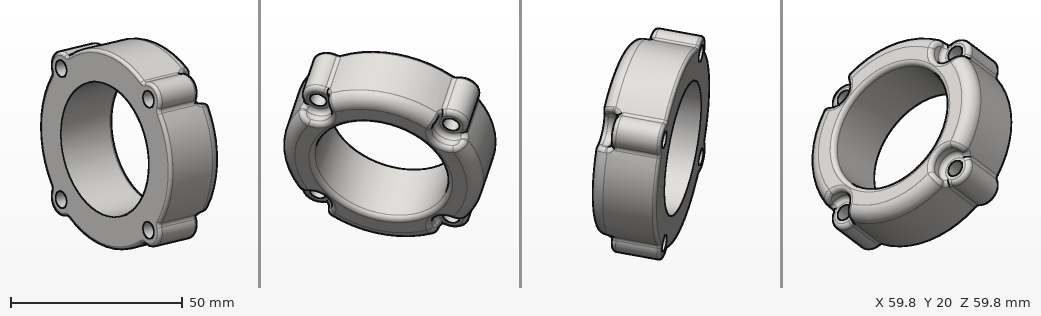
import cadquery as cq

ring_radius = 29.9
ring_depth = 20.0
back_round = 4.0
front_round = 1.0

bore_diameter = 40.2
bore_radius = bore_diameter / 2
bore_back_round = 1.5

lug_offset = 20.0
lug_radius = 5.0
lug_root_round = 1.5
screw_hole_diameter = 5.0
screw_hole_radius = screw_hole_diameter / 2

pocket_radius = lug_radius
pocket_depth = 5.0
pocket_round = 1.5

lug_depth = ring_depth - pocket_depth
lug_centres = [(x, z) for x in (-lug_offset, lug_offset) for z in (-lug_offset, lug_offset)]

clearance = 0.6
tolerance = 0.0005


def cylinder(radius, start, end, x=0.0, z=0.0):
    """Cylinder along Y from Y = start to Y = end."""
    base = cq.Vector(x, start, z)
    return cq.Workplane(cq.Solid.makeCylinder(radius, end - start, base, cq.Vector(0, 1, 0)))


def box_around(x, z, reach, start, end):
    """Selector for whatever lies fully in a square box along Y, with a margin all round."""
    half = reach + clearance
    low = (x - half, start - clearance, z - half)
    high = (x + half, end + clearance, z + half)
    return cq.selectors.BoxSelector(low, high, boundingbox=True)


def screw_pocket(x, z):
    """Cutter for one pocket, with a rounded floor edge."""
    cutter = cylinder(pocket_radius, lug_depth, ring_depth + clearance, x, z)
    return cutter.faces("<Y").edges().fillet(pocket_round)


def pocketed_ring():
    """Ring with a rounded back and four pockets with rounded floors and rims."""
    ring = cylinder(ring_radius, 0, ring_depth).faces(">Y").edges().fillet(back_round)
    skin = ring.val().Shells()[0]

    def on_skin(edge):
        middle = edge.positionAt(0.5)
        return cq.Vertex.makeVertex(*middle.toTuple()).distance(skin) < tolerance

    for x, z in lug_centres:
        ring = ring.cut(screw_pocket(x, z))
        near_pocket = ring.edges(box_around(x, z, pocket_radius, lug_depth, ring_depth))
        ring = near_pocket.filter(on_skin).fillet(pocket_round)
    return ring


def lugged_plate():
    """Ring with four lugs, as deep as the lugs, with a rounded outline at the back."""
    plate = cylinder(ring_radius, 0, lug_depth)
    for x, z in lug_centres:
        plate = plate.union(cylinder(lug_radius, 0, lug_depth, x, z))
    for x, z in lug_centres:
        lug_roots = plate.edges(box_around(x, z, lug_radius, 0, lug_depth)).edges("|Y")
        plate = lug_roots.fillet(lug_root_round)
    return plate.faces(">Y").edges().fillet(pocket_round)


body = pocketed_ring().union(lugged_plate())
body = body.faces("<Y").edges().fillet(front_round)

for x, z in lug_centres:
    body = body.cut(cylinder(screw_hole_radius, 0, ring_depth, x, z))

body = body.cut(cylinder(bore_radius, 0, ring_depth))
bore_back_edge = body.edges(box_around(0, 0, bore_radius, ring_depth, ring_depth))
result = bore_back_edge.fillet(bore_back_round)